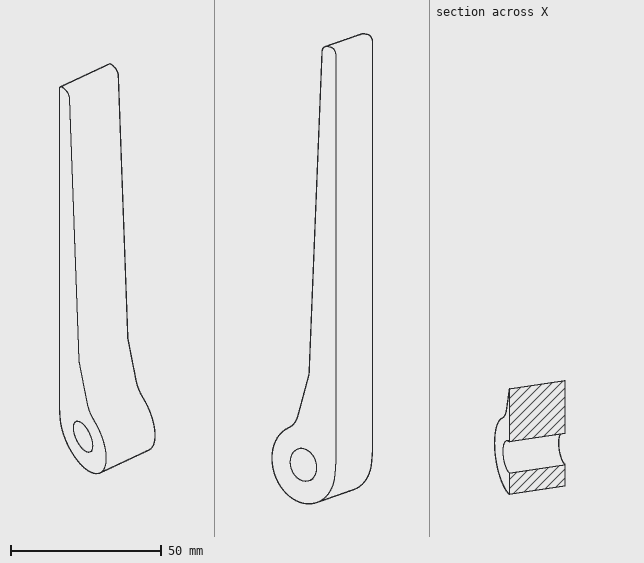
import cadquery as cq
import math

length = 159.9
total_width = 27.0
depth = 20.0

hub_diameter = 26.7
hub_radius = hub_diameter / 2
hole_diameter = 11.2
hub_x = total_width - hub_radius
hub_z = hub_radius

tip_width = 5.8
tip_radius = 2.2
back_end_z = 16.3
kink_x = 11.4
kink_z = 45.1

neck_end_x = 17.9
neck_end_z = 24.0
neck_radius = 8.0


def back_tangent_point():
    """Point where a line from the lower end of the back touches the hub circle."""
    offset_x = -hub_x
    offset_z = back_end_z - hub_z
    distance = math.hypot(offset_x, offset_z)
    angle = math.atan2(offset_z, offset_x) + math.acos(hub_radius / distance)
    return (hub_x + hub_radius * math.cos(angle), hub_z + hub_radius * math.sin(angle))


def make_arm():
    outline = [
        (0, back_end_z),
        (0, length),
        (tip_width, length),
        (kink_x, kink_z),
        (neck_end_x, neck_end_z),
        (hub_x, hub_z),
        back_tangent_point(),
    ]
    arm = cq.Workplane("XZ").polyline(outline).close().extrude(-depth)
    return arm.faces(">Z").edges("|Y").fillet(tip_radius)


def make_hub():
    return cq.Workplane("XZ").center(hub_x, hub_z).circle(hub_radius).extrude(-depth)


body = make_arm().union(make_hub())
inner_corner = cq.selectors.NearestToPointSelector((neck_end_x, depth / 2, hub_z + hub_radius))
body = body.edges("|Y").edges(inner_corner).fillet(neck_radius)

pivot_hole = cq.Workplane("XZ").center(hub_x, hub_z).circle(hole_diameter / 2).extrude(-depth)
result = body.cut(pivot_hole)